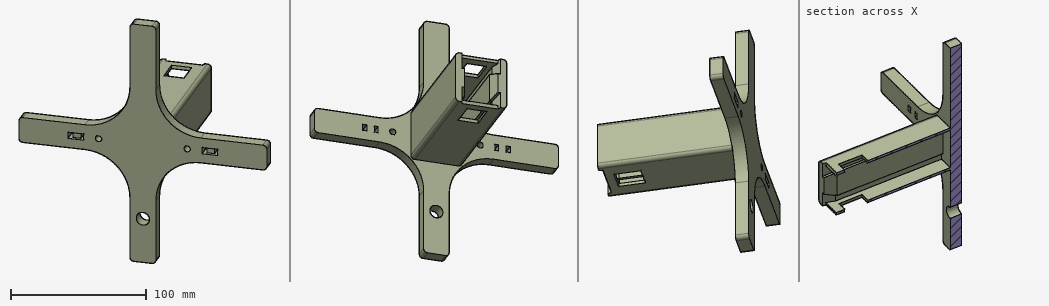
import cadquery as cq

span = 190.0
arm_width = 20.0
plate_thickness = 10.0
corner_radius = 34.4
tip_radius = 3.0

screw_hole_diameter = 4.8
screw_hole_offset = 34.0
hanging_hole_diameter = 10.0
hanging_hole_drop = 60.0

slot_inner_end = 45.5
slot_outer_end = 57.4
slot_height = 5.0
slot_recess_depth = 2.7
bridge_inner_end = 48.3
bridge_outer_end = 54.2

total_depth = 112.0
tube_width = 39.9
tube_edge_radius = 3.0

wall_thickness = 2.7
cavity_width = 23.4
rib_thickness = 1.9
rib_height = 21.8

mouth_length = 9.5
mouth_start = total_depth - mouth_length
mouth_slope = 1 / 3

window_width = 15.4
window_near_end = 81.9
window_far_end = 102.2
latch_bar_end = 109.0
latch_bar_slope = 1 / 6


def block(x_limits, y_limits, z_limits):
    """Box between the given pairs of limits."""
    sizes = [high - low for low, high in (x_limits, y_limits, z_limits)]
    return cq.Workplane("XY").box(*sizes, centered=False).translate(
        (x_limits[0], y_limits[0], z_limits[0])
    )


def facing_back(y):
    """Workplane at the given Y, with local X and Y along X and Z, extruding toward +Y."""
    return cq.Workplane(cq.Plane(origin=(0, y, 0), xDir=(1, 0, 0), normal=(0, -1, 0)))


def make_cross():
    vertical_arm = facing_back(0).rect(arm_width, span).extrude(-plate_thickness)
    cross = facing_back(0).rect(span, arm_width).extrude(-plate_thickness)
    cross = cross.edges("|Y").fillet(tip_radius)
    vertical_arm = vertical_arm.edges("|Y").fillet(tip_radius)
    cross = cross.union(vertical_arm)
    reach = arm_width / 2 + 0.2
    inner_corners = cq.selectors.BoxSelector((-reach, -1.9, -reach), (reach, total_depth, reach))
    return cross.edges("|Y").edges(inner_corners).fillet(corner_radius)


def cut_round_holes(body):
    screw_positions = [(-screw_hole_offset, 0), (screw_hole_offset, 0)]
    screw_holes = facing_back(0).pushPoints(screw_positions).circle(screw_hole_diameter / 2)
    hanging_hole = facing_back(0).center(0, -hanging_hole_drop).circle(hanging_hole_diameter / 2)
    return body.cut(screw_holes.extrude(-plate_thickness)).cut(hanging_hole.extrude(-plate_thickness))


def make_strap_slot():
    """Slot on the +X arm."""
    z_limits = (-slot_height / 2, slot_height / 2)
    slot = block((slot_inner_end, slot_outer_end), (0, plate_thickness), z_limits)
    bridge = block((bridge_inner_end, bridge_outer_end), (slot_recess_depth, plate_thickness), z_limits)
    return slot.cut(bridge)


def cavity_section(y, z_top, growth):
    """Closed wire of the cavity section at the given Y, its side walls and ribs moved back by growth."""
    x_wide = cavity_width / 2 + growth
    x_rib = x_wide - rib_thickness
    z_rib = rib_height / 2 - growth
    quarter = [(x_rib, z_rib), (x_wide, z_rib), (x_wide, z_top)]
    right_side = [(x, -z) for x, z in reversed(quarter)] + quarter
    left_side = [(-x, -z) for x, z in right_side]
    return cq.Wire.makePolygon([cq.Vector(x, y, z) for x, z in right_side + left_side], close=True)


def loft_sections(start, end):
    return cq.Workplane(cq.Solid.makeLoft([start, end], True))


def make_cavity():
    """Straight cavity from the cross plate up to the mouth."""
    z_top = tube_width / 2 - wall_thickness
    return loft_sections(
        cavity_section(plate_thickness, z_top, 0),
        cavity_section(mouth_start, z_top, 0),
    )


def make_latch_bar(side):
    """Wall strip between window and mouth, on the top (side 1) or bottom (side -1), widening inward."""
    z_outer = tube_width / 2
    z_inner = z_outer - wall_thickness
    draft = wall_thickness * latch_bar_slope
    outline = [
        (window_far_end, side * z_outer),
        (latch_bar_end, side * z_outer),
        (latch_bar_end + draft, side * z_inner),
        (window_far_end - draft, side * z_inner),
    ]
    return cq.Workplane("YZ").polyline(outline).close().extrude(tube_width / 2, both=True)


def make_mouth():
    """Flared mouth, open through the top and bottom walls beyond the latch bars."""
    z_outer = tube_width / 2
    mouth = loft_sections(
        cavity_section(mouth_start, z_outer, 0),
        cavity_section(total_depth, z_outer, mouth_length * mouth_slope),
    )
    return mouth.cut(make_latch_bar(1)).cut(make_latch_bar(-1))


def make_window():
    """Window cutter through both walls, its far end shaped by the latch bars."""
    half_height = tube_width / 2
    window = block(
        (-window_width / 2, window_width / 2),
        (window_near_end, window_far_end),
        (-half_height, half_height),
    )
    return window.cut(make_latch_bar(1)).cut(make_latch_bar(-1))


def make_tube():
    tube = facing_back(plate_thickness).rect(tube_width, tube_width)
    tube = tube.extrude(plate_thickness - total_depth).edges("|Y").fillet(tube_edge_radius)
    return tube.cut(make_cavity()).cut(make_mouth()).cut(make_window())


cross = cut_round_holes(make_cross())
strap_slot = make_strap_slot()
cross = cross.cut(strap_slot).cut(strap_slot.mirror("YZ"))
result = cross.union(make_tube())